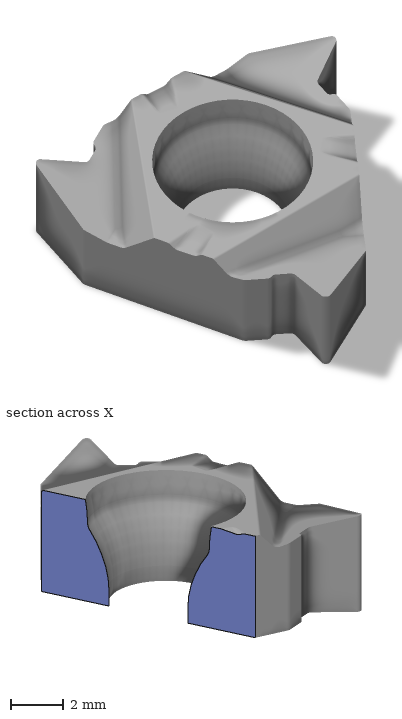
import cadquery as cq
import math

TEETH = 3
THICKNESS = 4.22
INSCRIBED_RADIUS = 9.525 / 2

TIP_Y = 6.895
TIP_LEFT_X = -3.092
TIP_RIGHT_X = -2.855
LEFT_FLANK_ANGLE = 30.7
RIGHT_FLANK_ANGLE = 31.0
ROOT_Y = 5.241
STEP_Y = 5.467
STEP_ROOT_X = -1.075
STEP_ANGLE = 60
TIP_RADIUS = 0.20
ROOT_RADIUS = 0.23
STEP_RADIUS = 0.20
HEEL_RADIUS = 0.20
SHOULDER_RADIUS = 0.40

TIP_HEIGHT = 3.976
RAKE_ANGLE = 15
FLOOR_HEIGHT = 2.955
WALL_DIRECTION = 32
WALL_ANGLE = 49
WALL_TOP_DISTANCE = 3.452
GROOVE_RADIUS = 0.30
WALL_TOP_RADIUS = 0.12

BORE_RADIUS = 4.4 / 2
SEAT_TOP_RADIUS = 3.08
SEAT_WALL_RADIUS = 2.995
SEAT_WALL_DEPTH = 0.98
BOWL_TOP_RADIUS = 2.915
BOWL_TOP_DEPTH = 1.23
BOWL_END_DEPTH = 3.59

NOTCH_END = (-3.471, -0.521)
NOTCH_DIRECTION = 12.6
NOTCH_RAMP_ANGLE = 10
NOTCH_FLOOR_WIDTH = 0.63
NOTCH_WALL_ANGLE = 40
NOTCH_FLOOR_RADIUS = 0.25
NOTCH_RIM_RADIUS = 0.20
NOTCH_CUTTER_HEIGHT = 1.0
NOTCH_CUTTER_REACH = 3.0

OVERSIZE = 20


def degrees_sin(angle):
    return math.sin(math.radians(angle))


def degrees_cos(angle):
    return math.cos(math.radians(angle))


def degrees_tan(angle):
    return math.tan(math.radians(angle))


def turned(point, index):
    """Turn an XY point about the Z axis to the tooth with this index."""
    angle = index * 360 / TEETH
    x, y = point
    return (
        x * degrees_cos(angle) - y * degrees_sin(angle),
        x * degrees_sin(angle) + y * degrees_cos(angle),
    )


def cut_at_each_tooth(body, cutter):
    for index in range(TEETH):
        body = body.cut(cutter.rotate((0, 0, 0), (0, 0, 1), index * 360 / TEETH))
    return body


def tooth_corners():
    """Sharp corners of one tooth from heel to shoulder, each with its rounding radius."""
    heel_y = TIP_Y - (TIP_LEFT_X + INSCRIBED_RADIUS) / degrees_tan(LEFT_FLANK_ANGLE)
    root_x = TIP_RIGHT_X + (TIP_Y - ROOT_Y) * degrees_tan(RIGHT_FLANK_ANGLE)
    step_top_x = STEP_ROOT_X + (STEP_Y - ROOT_Y) / degrees_tan(STEP_ANGLE)
    side_normal = 180 / TEETH
    shoulder_x = (INSCRIBED_RADIUS - STEP_Y * degrees_sin(side_normal)) / degrees_cos(side_normal)
    return [
        ((-INSCRIBED_RADIUS, heel_y), HEEL_RADIUS),
        ((TIP_LEFT_X, TIP_Y), TIP_RADIUS),
        ((TIP_RIGHT_X, TIP_Y), TIP_RADIUS),
        ((root_x, ROOT_Y), ROOT_RADIUS),
        ((STEP_ROOT_X, ROOT_Y), STEP_RADIUS),
        ((step_top_x, STEP_Y), STEP_RADIUS),
        ((shoulder_x, STEP_Y), SHOULDER_RADIUS),
    ]


def make_blank():
    corners = []
    for index in range(TEETH):
        for point, radius in tooth_corners():
            corners.append((turned(point, -index), radius))
    outline = [point for point, _ in corners]
    blank = cq.Workplane("XY").polyline(outline).close().extrude(THICKNESS)
    for (x, y), radius in corners:
        corner = cq.selectors.NearestToPointSelector((x, y, THICKNESS / 2))
        blank = blank.edges("|Z").edges(corner).fillet(radius)
    return blank


def wall_distance(height):
    """Distance from the Z axis to the groove wall at this height."""
    return WALL_TOP_DISTANCE + (THICKNESS - height) / degrees_tan(WALL_ANGLE)


def floor_and_wall_cutter(origin, floor_normal, wall_normal):
    """Space above a floor plane and in front of a leaning wall, rounded where they meet."""
    run = floor_normal.cross(wall_normal).normalized()
    away_from_wall = run.cross(floor_normal)
    lean = math.degrees(floor_normal.getAngle(wall_normal))
    tangent = GROOVE_RADIUS * degrees_tan(lean / 2)
    wall_x, wall_y = -degrees_cos(lean), degrees_sin(lean)
    arc_middle = (
        tangent - GROOVE_RADIUS * degrees_sin(lean / 2),
        GROOVE_RADIUS * (1 - degrees_cos(lean / 2)),
    )
    return (
        cq.Workplane(cq.Plane(origin, away_from_wall, run * -1))
        .moveTo(OVERSIZE, 0)
        .lineTo(tangent, 0)
        .threePointArc(arc_middle, (tangent * wall_x, tangent * wall_y))
        .lineTo(OVERSIZE * wall_x, OVERSIZE * wall_y)
        .lineTo(OVERSIZE, OVERSIZE * wall_y)
        .close()
        .extrude(OVERSIZE, both=True)
    )


def make_groove_cutter():
    facing_x, facing_y = -degrees_sin(WALL_DIRECTION), degrees_cos(WALL_DIRECTION)
    lean = degrees_sin(WALL_ANGLE)
    wall_normal = cq.Vector(facing_x * lean, facing_y * lean, degrees_cos(WALL_ANGLE))
    floor_normal = cq.Vector(0, 0, 1)
    rake_normal = cq.Vector(0, -degrees_sin(RAKE_ANGLE), degrees_cos(RAKE_ANGLE))
    meeting_y = TIP_Y - (TIP_HEIGHT - FLOOR_HEIGHT) / degrees_tan(RAKE_ANGLE)
    meeting_x = (wall_distance(FLOOR_HEIGHT) - meeting_y * facing_y) / facing_x
    meeting_point = cq.Vector(meeting_x, meeting_y, FLOOR_HEIGHT)
    flat_part = floor_and_wall_cutter(meeting_point, floor_normal, wall_normal)
    raked_part = floor_and_wall_cutter(meeting_point, rake_normal, wall_normal)
    return flat_part.intersect(raked_part)


def round_wall_tops(body):
    middle = (
        -WALL_TOP_DISTANCE * degrees_sin(WALL_DIRECTION),
        WALL_TOP_DISTANCE * degrees_cos(WALL_DIRECTION),
    )
    for index in range(TEETH):
        x, y = turned(middle, index)
        edge = cq.selectors.NearestToPointSelector((x, y, THICKNESS))
        body = body.edges(edge).fillet(WALL_TOP_RADIUS)
    return body


def make_seat_cutter():
    """Slightly tapered mouth that blends into a bowl, which runs smoothly into a through bore."""
    bowl_rise = BOWL_END_DEPTH - BOWL_TOP_DEPTH
    bowl_flare = BOWL_TOP_RADIUS - BORE_RADIUS
    bowl_radius = (bowl_rise**2 + bowl_flare**2) / (2 * bowl_flare)
    bowl_angle = math.degrees(math.asin(bowl_rise / bowl_radius))
    bowl_middle = (
        BORE_RADIUS + bowl_radius * (1 - degrees_cos(bowl_angle / 2)),
        THICKNESS - BOWL_END_DEPTH + bowl_radius * degrees_sin(bowl_angle / 2),
    )
    return (
        cq.Workplane("XZ")
        .moveTo(0, THICKNESS)
        .lineTo(SEAT_TOP_RADIUS, THICKNESS)
        .lineTo(SEAT_WALL_RADIUS, THICKNESS - SEAT_WALL_DEPTH)
        .tangentArcPoint((BOWL_TOP_RADIUS, THICKNESS - BOWL_TOP_DEPTH), relative=False)
        .threePointArc(bowl_middle, (BORE_RADIUS, THICKNESS - BOWL_END_DEPTH))
        .lineTo(BORE_RADIUS, 0)
        .lineTo(0, 0)
        .close()
        .revolve(360, (0, 0, 0), (0, 1, 0))
    )


def make_notch_cutter():
    """Trapezoidal channel that starts level with the top face and deepens outwards."""
    floor_fillet_run = NOTCH_FLOOR_RADIUS * degrees_tan(NOTCH_WALL_ANGLE / 2)
    half_floor = NOTCH_FLOOR_WIDTH / 2 + floor_fillet_run
    half_top = half_floor + NOTCH_CUTTER_HEIGHT / degrees_tan(NOTCH_WALL_ANGLE)
    return (
        cq.Workplane("YZ")
        .polyline([
            (-half_floor, 0),
            (half_floor, 0),
            (half_top, NOTCH_CUTTER_HEIGHT),
            (-half_top, NOTCH_CUTTER_HEIGHT),
        ])
        .close()
        .extrude(NOTCH_CUTTER_REACH, both=True)
        .edges("|X and <Z")
        .fillet(NOTCH_FLOOR_RADIUS)
        .rotate((0, 0, 0), (0, 1, 0), NOTCH_RAMP_ANGLE)
        .rotate((0, 0, 0), (0, 0, 1), 180 - NOTCH_DIRECTION)
        .translate((*NOTCH_END, THICKNESS))
    )


def round_notch_rims(body):
    """Round the rim of each notch; the round runs on along the smooth rim."""
    for index in range(TEETH):
        x, y = turned(NOTCH_END, index)
        rim = cq.selectors.NearestToPointSelector((x, y, THICKNESS))
        body = body.edges(rim).fillet(NOTCH_RIM_RADIUS)
    return body


body = make_blank()
body = cut_at_each_tooth(body, make_groove_cutter())
body = round_wall_tops(body)
body = cut_at_each_tooth(body, make_notch_cutter())
body = round_notch_rims(body)
result = body.cut(make_seat_cutter())